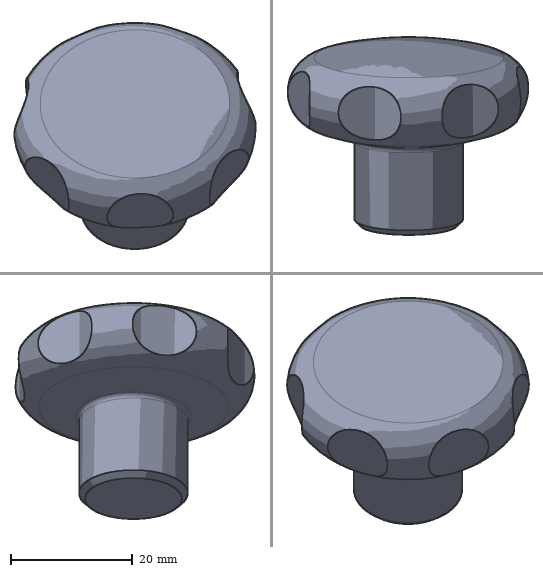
import cadquery as cq
import math

stem_radius = 9.0
stem_chamfer = 1.0
stem_height = 14.2

flare_radius = 9.5
flare_height = 15.05
flare_bend = math.radians(45)

head_radius = 20.0
shoulder_radius = 15.65
rim_bottom = 16.75
rim_top = 28.3
rim_middle = (rim_bottom + rim_top) / 2
total_height = 30.4
underside_bulge = 0.1

scallop_count = 7
scallop_radius = 12.8
scallop_floor = 18.0
first_scallop_angle = -90.0


def make_body():
    """Revolve the half section of the stem and head about the Z axis."""
    dome_rise = total_height - rim_top
    dome_radius = (shoulder_radius**2 + dome_rise**2) / (2 * dome_rise)
    dome_center = total_height - dome_radius
    dome_mid_r = shoulder_radius / 2
    dome_mid_z = dome_center + math.sqrt(dome_radius**2 - dome_mid_r**2)

    flare_width = flare_radius - stem_radius
    flare_rise = flare_height - stem_height
    flare_mid = (
        stem_radius + flare_width * (1 - math.cos(flare_bend)),
        stem_height + flare_rise * math.sin(flare_bend),
    )

    underside_run = shoulder_radius - flare_radius
    underside_rise = rim_bottom - flare_height
    underside_chord = math.hypot(underside_run, underside_rise)
    underside_mid = (
        (flare_radius + shoulder_radius) / 2 + underside_bulge * underside_rise / underside_chord,
        (flare_height + rim_bottom) / 2 - underside_bulge * underside_run / underside_chord,
    )

    return (
        cq.Workplane("XZ")
        .lineTo(stem_radius - stem_chamfer, 0)
        .lineTo(stem_radius, stem_chamfer)
        .lineTo(stem_radius, stem_height)
        .threePointArc(flare_mid, (flare_radius, flare_height))
        .threePointArc(underside_mid, (shoulder_radius, rim_bottom))
        .threePointArc((head_radius, rim_middle), (shoulder_radius, rim_top))
        .threePointArc((dome_mid_r, dome_mid_z), (0, total_height))
        .close()
        .revolve(360, (0, 0), (0, 1))
    )


def make_scallops():
    """Vertical cylinders that cut the evenly spaced finger scallops."""
    return (
        cq.Workplane("XY")
        .workplane(offset=stem_height)
        .polarArray(scallop_floor + scallop_radius, first_scallop_angle, 360, scallop_count)
        .circle(scallop_radius)
        .extrude(total_height - stem_height)
    )


result = make_body().cut(make_scallops())